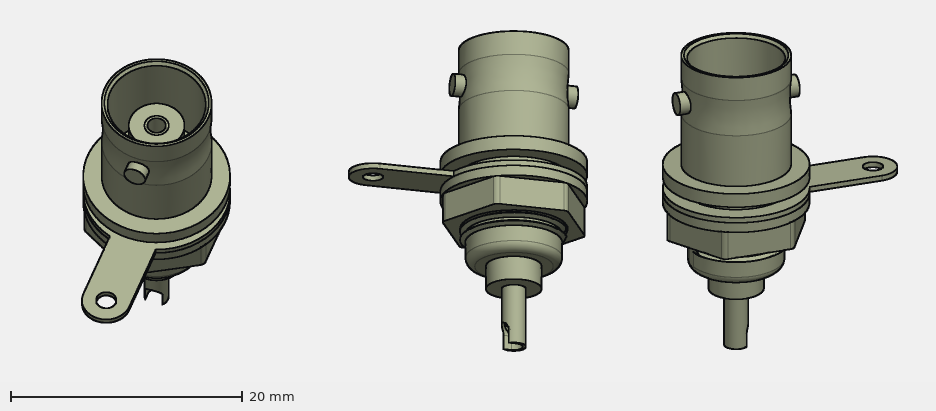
import cadquery as cq
import math


contact_bottom = 0.0
core_bottom = 5.35
housing_bottom = 7.45
lower_ridge_z = 9.88
ridge_pitch = 0.753
nut_bottom = 10.87
nut_flange_bottom = 13.45
nut_top = 14.35
tag_top = 14.85
flange_bottom = 15.83
flange_top = 17.09
cavity_floor = 18.9
core_top = 24.15
rim_top = 27.38

flange_radius = 6.35
barrel_radius = 4.76
waist_radius = 4.65
waist_z = 23.57
waist_half_height = 1.67
cavity_radius = 4.25
lead_in_width = 0.27
lead_in_depth = 0.27
core_radius = 2.4
neck_radius = 4.65
root_radius = 4.2
ridge_half_height = 0.25
ridge_count = 2
bottom_round = 0.8
flat_y = 4.15
lug_diameter = 1.95
lug_z = 23.63
lug_tip = 5.53
lug_root = 4.35

contact_radius = 1.055
bore_radius = 0.8
socket_depth = 4.1
cup_depth = 2.08

tab_width = 4.22
tab_end_radius = tab_width / 2
tab_reach = 14.75
tab_eye_y = tab_end_radius - tab_reach
tab_hole_diameter = 1.75

nut_across_flats = 11.15
nut_edge_round = 0.57


def cylinder(radius, bottom, top):
    return cq.Workplane("XY").workplane(offset=bottom).circle(radius).extrude(top - bottom)


def cut_neck_flat(solid, bottom, top):
    """Remove everything beyond the +Y flat between two levels."""
    width = 2 * flange_radius
    beyond = cq.Workplane("XY").box(width, width, top - bottom, centered=(True, False, False))
    return solid.cut(beyond.translate((0, flat_y, bottom)))


def make_barrel():
    """Hollow barrel with a shallow concave waist and a tapered lead-in at the rim."""
    barrel = (
        cq.Workplane("XZ")
        .moveTo(0, flange_top)
        .lineTo(barrel_radius, flange_top)
        .lineTo(barrel_radius, waist_z - waist_half_height)
        .threePointArc((waist_radius, waist_z), (barrel_radius, waist_z + waist_half_height))
        .lineTo(barrel_radius, rim_top)
        .lineTo(cavity_radius + lead_in_width, rim_top)
        .lineTo(cavity_radius, rim_top - lead_in_depth)
        .lineTo(cavity_radius, cavity_floor)
        .lineTo(0, cavity_floor)
        .close()
        .revolve(360, (0, 0), (0, 1))
    )
    for side in (1, -1):
        lug = (
            cq.Workplane("XZ", origin=(0, side * lug_root, lug_z))
            .circle(lug_diameter / 2)
            .extrude(-side * (lug_tip - lug_root))
        )
        barrel = barrel.union(lug)
    return barrel


def make_neck():
    """Neck below the flange, with thread ridges under the nut and a flat on +Y."""
    neck = cylinder(neck_radius, nut_bottom, flange_bottom)
    root = cylinder(root_radius, housing_bottom, nut_bottom).faces("<Z").edges().fillet(bottom_round)
    neck = neck.union(root)
    for index in range(ridge_count):
        ridge_z = lower_ridge_z + index * ridge_pitch
        ridge = (
            cq.Workplane("XZ")
            .moveTo(0, ridge_z - ridge_half_height)
            .lineTo(root_radius, ridge_z - ridge_half_height)
            .lineTo(neck_radius, ridge_z)
            .lineTo(root_radius, ridge_z + ridge_half_height)
            .lineTo(0, ridge_z + ridge_half_height)
            .close()
            .revolve(360, (0, 0), (0, 1))
        )
        neck = neck.union(ridge)
    return cut_neck_flat(neck, housing_bottom, flange_bottom)


def make_housing():
    """Barrel, flange, neck and insulator core, bored through for the contact."""
    housing = make_barrel().union(cylinder(flange_radius, flange_bottom, flange_top))
    housing = housing.union(make_neck())
    housing = housing.union(cylinder(core_radius, core_bottom, core_top))
    return housing.cut(cylinder(contact_radius, core_bottom, core_top))


def make_contact():
    """Centre contact: a socket at the top and a solder cup open to -Y at the bottom."""
    contact = cylinder(contact_radius, contact_bottom, core_top)
    contact = contact.cut(cylinder(bore_radius, core_top - socket_depth, core_top))
    cup_top = contact_bottom + cup_depth
    contact = contact.cut(cylinder(bore_radius, contact_bottom, cup_top))
    window = (
        cq.Workplane("XZ")
        .moveTo(-bore_radius, contact_bottom)
        .lineTo(-bore_radius, cup_top - bore_radius)
        .threePointArc((0, cup_top), (bore_radius, cup_top - bore_radius))
        .lineTo(bore_radius, contact_bottom)
        .close()
        .extrude(contact_radius)
    )
    return contact.cut(window)


def make_tag():
    """Ring around the neck, keyed by its flat, with a drilled solder tab toward -Y."""
    tag_height = tag_top - nut_top
    plane = cq.Workplane("XY").workplane(offset=nut_top)
    tab = plane.center(0, tab_eye_y / 2).rect(tab_width, -tab_eye_y).extrude(tag_height)
    tab_end = plane.center(0, tab_eye_y).circle(tab_end_radius).extrude(tag_height)
    eye = plane.center(0, tab_eye_y).circle(tab_hole_diameter / 2).extrude(tag_height)
    neck_section = cut_neck_flat(cylinder(neck_radius, nut_top, tag_top), nut_top, tag_top)
    tag = cylinder(flange_radius, nut_top, tag_top).union(tab).union(tab_end)
    return tag.cut(eye).cut(neck_section)


def make_nut():
    """Hexagon nut with rounded corners, two of them on the Y axis, and a round flange."""
    across_corners = nut_across_flats / math.cos(math.radians(30))
    hexagon = (
        cq.Workplane("XY")
        .polygon(6, across_corners)
        .extrude(nut_flange_bottom - nut_bottom)
        .edges("|Z")
        .fillet(nut_edge_round)
        .rotate((0, 0, 0), (0, 0, 1), 90)
        .translate((0, 0, nut_bottom))
    )
    nut = hexagon.union(cylinder(flange_radius, nut_flange_bottom, nut_top))
    return nut.cut(cylinder(neck_radius, nut_bottom, nut_top))


housing = make_housing()
contact = make_contact()
tag = make_tag()
nut = make_nut()

result = cq.Compound.makeCompound([housing.val(), contact.val(), tag.val(), nut.val()])